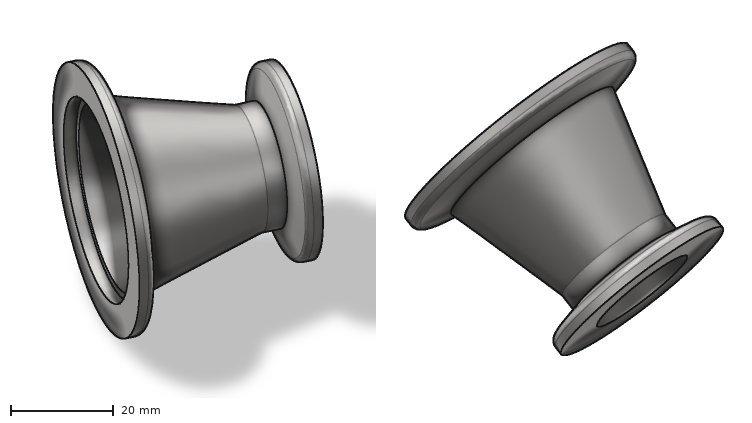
import cadquery as cq
import math

length = 40.0
large_flange_radius = 55 / 2
small_flange_radius = 40.0 / 2

flange_thickness = 5.0
flange_slope = math.radians(15)
rim_fillet = 1.5

cone_large_radius = 40.0 / 2
neck_radius = 25.5 / 2
neck_length = 4.0

recess_radius = 41.25 / 2
recess_depth = 2.6
bore_large_radius = 38.05 / 2
bore_small_radius = 22.2 / 2

front = -length / 2
back = length / 2
neck_start = back - flange_thickness - neck_length


def rim_width(flange_radius, root_radius):
    """Axial width of a flange rim before its edge is rounded."""
    return flange_thickness - (flange_radius - root_radius) * math.tan(flange_slope)


def revolve_profile(points):
    """Turn a closed (radius, y) outline a full turn about the Y axis."""
    return cq.Workplane("XY").polyline(points).close().revolve(360, (0, 0), (0, 1))


large_rim_y = front + rim_width(large_flange_radius, cone_large_radius)
small_rim_y = back - rim_width(small_flange_radius, neck_radius)

body = revolve_profile([
    (0, front),
    (large_flange_radius, front),
    (large_flange_radius, large_rim_y),
    (cone_large_radius, front + flange_thickness),
    (neck_radius, neck_start),
    (neck_radius, back - flange_thickness),
    (small_flange_radius, small_rim_y),
    (small_flange_radius, back),
    (0, back),
])

for rim_y in (large_rim_y, small_rim_y):
    rim_edge = cq.selectors.NearestToPointSelector((0, rim_y, 0))
    body = body.edges("%CIRCLE").edges(rim_edge).fillet(rim_fillet)

bore = revolve_profile([
    (0, front),
    (recess_radius, front),
    (recess_radius, front + recess_depth),
    (bore_large_radius, front + recess_depth),
    (bore_small_radius, neck_start),
    (bore_small_radius, back),
    (0, back),
])

result = body.cut(bore)